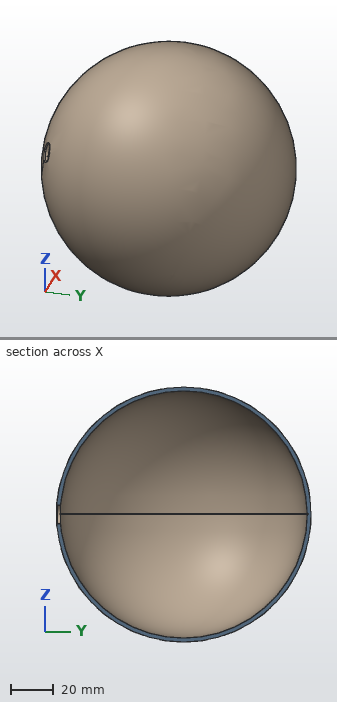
import cadquery as cq
import math

outer_diameter = 120.0
wall_thickness = 2.0

hole_diameter = 8.5
mouth_chamfer = 0.5

groove_width = 0.5
groove_depth = 0.5

outer_radius = outer_diameter / 2
inner_radius = outer_radius - wall_thickness
hole_radius = hole_diameter / 2
mouth_radius = hole_radius + mouth_chamfer


def ball_shell():
    """Spherical shell of even wall thickness."""
    cavity = cq.Workplane("XY").sphere(inner_radius)
    return cq.Workplane("XY").sphere(outer_radius).cut(cavity)


def equator_groove():
    """Ring with a triangular section that cuts the V groove into the cavity wall."""
    upper_edge_radius = math.sqrt(inner_radius**2 - groove_width**2)
    section = [
        (inner_radius, 0),
        (inner_radius + groove_depth, groove_width / 2),
        (upper_edge_radius, groove_width),
    ]
    return cq.Workplane("XZ").polyline(section).close().revolve(360, (0, 0), (0, 1))


def mouth_hole():
    """Bore along Y whose outer end flares to the mouth radius on the ball surface."""
    rim_y = -math.sqrt(outer_radius**2 - mouth_radius**2)
    bore_end_y = -inner_radius + wall_thickness
    half_section = [
        (0, -outer_radius),
        (mouth_radius, -outer_radius),
        (mouth_radius, rim_y),
        (hole_radius, rim_y + mouth_chamfer),
        (hole_radius, bore_end_y),
        (0, bore_end_y),
    ]
    return cq.Workplane("XY").polyline(half_section).close().revolve(360, (0, 0), (0, 1))


result = ball_shell().cut(equator_groove()).cut(mouth_hole())